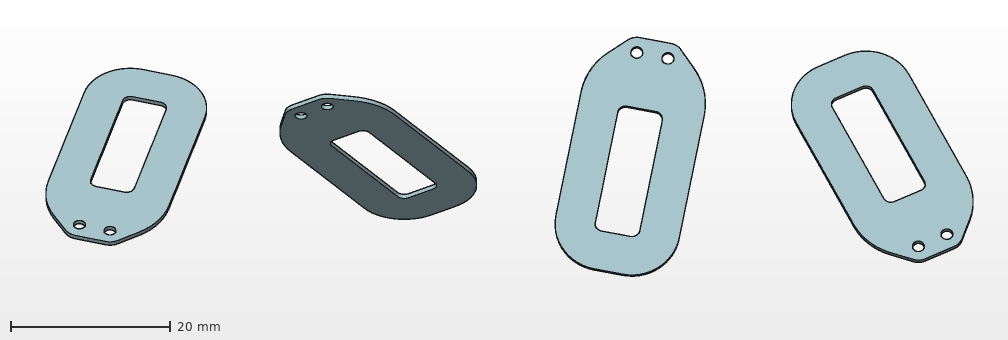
import cadquery as cq
import math

width = 15.8
length = 30.9
thickness = 0.62

shoulder_radius = 8.0
tab_corner_radius = 2.0
taper_angle = math.radians(45)

hole_diameter = 1.5
hole_spacing = 4.0

rim = 5.05
window_length = 16.7
window_corner_radius = 1.0

top_corner_radius = window_corner_radius + rim

half_width = width / 2
window_width = width - 2 * rim
top_y = window_length / 2 + rim
bottom_y = top_y - length
hole_x = hole_spacing / 2
hole_y = bottom_y + tab_corner_radius


def point_on_arc(center, radius, angle):
    """Point on an arc, with the angle measured below the +X direction."""
    return (
        center[0] + radius * math.cos(angle),
        center[1] - radius * math.sin(angle),
    )


def mirrored(point):
    """Mirror a point across the plate's lengthwise centre line."""
    return (-point[0], point[1])


def make_plate():
    top_center = (half_width - top_corner_radius, top_y - top_corner_radius)
    top_start = (top_center[0], top_y)
    top_mid = point_on_arc(top_center, top_corner_radius, -math.pi / 4)
    top_end = (half_width, top_center[1])

    tab_center = (hole_x, hole_y)
    tab_start = point_on_arc(tab_center, tab_corner_radius, taper_angle)
    tab_mid = point_on_arc(tab_center, tab_corner_radius, (taper_angle + math.pi / 2) / 2)
    tab_end = (hole_x, bottom_y)

    shoulder_center_x = half_width - shoulder_radius
    shoulder_end_x = shoulder_center_x + shoulder_radius * math.cos(taper_angle)
    shoulder_end_y = tab_start[1] + (shoulder_end_x - tab_start[0]) / math.tan(taper_angle)
    shoulder_end = (shoulder_end_x, shoulder_end_y)
    shoulder_center = (shoulder_center_x, shoulder_end_y + shoulder_radius * math.sin(taper_angle))
    shoulder_start = (half_width, shoulder_center[1])
    shoulder_mid = point_on_arc(shoulder_center, shoulder_radius, taper_angle / 2)

    outline = (
        cq.Workplane("XY")
        .moveTo(*top_start)
        .threePointArc(top_mid, top_end)
        .lineTo(*shoulder_start)
        .threePointArc(shoulder_mid, shoulder_end)
        .lineTo(*tab_start)
        .threePointArc(tab_mid, tab_end)
        .lineTo(*mirrored(tab_end))
        .threePointArc(mirrored(tab_mid), mirrored(tab_start))
        .lineTo(*mirrored(shoulder_end))
        .threePointArc(mirrored(shoulder_mid), mirrored(shoulder_start))
        .lineTo(*mirrored(top_end))
        .threePointArc(mirrored(top_mid), mirrored(top_start))
        .close()
    )
    return outline.extrude(thickness)


def make_window():
    return (
        cq.Workplane("XY")
        .rect(window_width, window_length)
        .extrude(thickness)
        .edges("|Z")
        .fillet(window_corner_radius)
    )


def make_lead_holes():
    return (
        cq.Workplane("XY")
        .pushPoints([(-hole_x, hole_y), (hole_x, hole_y)])
        .circle(hole_diameter / 2)
        .extrude(thickness)
    )


result = make_plate().cut(make_window()).cut(make_lead_holes())